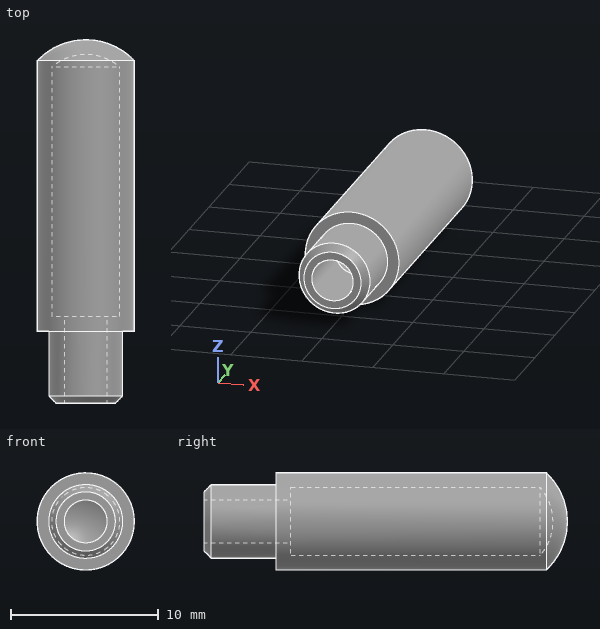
import cadquery as cq
import math

total_length = 24.65
body_diameter = 6.6
dome_height = 1.43
cavity_diameter = 4.6

pin_diameter = 5.0
pin_length = 4.88
pin_chamfer = 0.5
bore_diameter = 2.9

body_radius = body_diameter / 2
cavity_radius = cavity_diameter / 2
pin_radius = pin_diameter / 2
bore_radius = bore_diameter / 2
wall = body_radius - cavity_radius

dome_radius = (body_radius**2 + dome_height**2) / (2 * dome_height)
cavity_dome_radius = dome_radius - wall

front_y = -total_length / 2
back_y = total_length / 2
shoulder_y = front_y + pin_length
cavity_start_y = shoulder_y + wall
dome_base_y = back_y - dome_height
dome_center_y = back_y - dome_radius
cavity_end_y = dome_center_y + cavity_dome_radius
cavity_dome_base_y = dome_center_y + math.sqrt(cavity_dome_radius**2 - cavity_radius**2)


def dome_midpoint(sphere_radius, rim_radius):
    """Point halfway along a dome's arc, between its rim and the axis."""
    half_angle = math.asin(rim_radius / sphere_radius) / 2
    return (
        sphere_radius * math.sin(half_angle),
        dome_center_y + sphere_radius * math.cos(half_angle),
    )


axis_start = (0, 0, 0)
axis_end = (0, 1, 0)

outer_solid = (
    cq.Workplane("XY")
    .moveTo(0, front_y)
    .lineTo(pin_radius - pin_chamfer, front_y)
    .lineTo(pin_radius, front_y + pin_chamfer)
    .lineTo(pin_radius, shoulder_y)
    .lineTo(body_radius, shoulder_y)
    .lineTo(body_radius, dome_base_y)
    .threePointArc(dome_midpoint(dome_radius, body_radius), (0, back_y))
    .close()
    .revolve(360, axis_start, axis_end)
)

bore_and_cavity = (
    cq.Workplane("XY")
    .moveTo(0, front_y)
    .lineTo(bore_radius, front_y)
    .lineTo(bore_radius, cavity_start_y)
    .lineTo(cavity_radius, cavity_start_y)
    .lineTo(cavity_radius, cavity_dome_base_y)
    .threePointArc(dome_midpoint(cavity_dome_radius, cavity_radius), (0, cavity_end_y))
    .close()
    .revolve(360, axis_start, axis_end)
)

result = outer_solid.cut(bore_and_cavity)